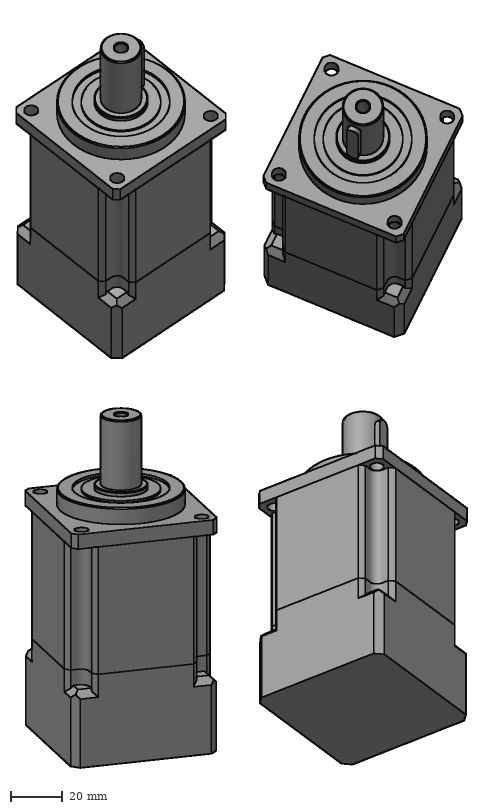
import cadquery as cq
import math

frame_width = 60.0
half_width = frame_width / 2
adapter_top = 37.7
flange_bottom = 90.0
flange_top = 96.0
boss_top = 102.8
shaft_top = 133.0
flange_corner_chamfer = 2.2
adapter_corner_chamfer = 3.0

ledge_height = 31.3
notch_wall = 21.6
notch_lip = 2.0
notch_fillet = 3.3

hole_diameter = 5.5
bolt_circle = 70.0
hole_spacing = bolt_circle / math.sqrt(2)

boss_radius = 25.0
boss_chamfer = 0.5
groove_outer_radius = 19.0
groove_inner_radius = 15.5
groove_depth = 1.0
seal_face_recess = 0.2
seal_face = boss_top - seal_face_recess

shaft_radius = 8.0
shaft_chamfer = 0.5
collar_radius = 10.5
collar_chamfer = 0.4
collar_top = 104.4

center_hole_radius = 2.5
center_hole_chamfer = 0.4
center_hole_depth = 12.0
drill_tip_angle = 118.0
drill_tip_depth = center_hole_radius / math.tan(math.radians(drill_tip_angle / 2))

key_width = 5.0
key_height = 5.0
key_length = 25.0
key_top = 129.9
key_outer_y = 10.0


def notched_prism(bottom, top):
    """Square prism whose four vertical corners are cut back by a filleted notch."""
    height = top - bottom
    corner_cut = half_width - notch_wall
    cutter = (
        cq.Workplane("XY", origin=(0, 0, bottom))
        .rect(frame_width, frame_width, forConstruction=True)
        .vertices()
        .rect(2 * corner_cut, 2 * corner_cut)
        .extrude(height)
        .edges("|Z")
        .fillet(notch_fillet)
    )
    prism = cq.Workplane("XY", origin=(0, 0, bottom)).rect(frame_width, frame_width).extrude(height)
    prism = prism.cut(cutter)
    lip_edges = prism.faces("<X or >X or <Y or >Y").edges("|Z")
    return lip_edges.chamfer(notch_lip)


def make_adapter():
    """Motor adapter: a chamfered block with a notched upper section."""
    block = (
        cq.Workplane("XY")
        .rect(frame_width, frame_width)
        .extrude(ledge_height)
        .edges("|Z")
        .chamfer(adapter_corner_chamfer)
    )
    bevel_envelope = (
        cq.Workplane("XY")
        .rect(frame_width, frame_width)
        .extrude(ledge_height)
        .faces(">Z")
        .edges()
        .chamfer(adapter_corner_chamfer)
    )
    return block.intersect(bevel_envelope).union(notched_prism(0, adapter_top))


def make_gear_body():
    """Notched section between the motor adapter and the output flange."""
    return notched_prism(adapter_top, flange_bottom)


def make_flange():
    """Square mounting flange with its centring boss and four screw holes."""
    plate = (
        cq.Workplane("XY", origin=(0, 0, flange_bottom))
        .rect(frame_width, frame_width)
        .extrude(flange_top - flange_bottom)
        .edges("|Z")
        .chamfer(flange_corner_chamfer)
        .faces(">Z")
        .workplane()
        .rect(hole_spacing, hole_spacing, forConstruction=True)
        .vertices()
        .hole(hole_diameter)
    )
    boss = (
        cq.Workplane("XY", origin=(0, 0, flange_top))
        .circle(boss_radius)
        .extrude(boss_top - flange_top)
        .faces(">Z")
        .chamfer(boss_chamfer)
    )
    groove = (
        cq.Workplane("XY", origin=(0, 0, boss_top - groove_depth))
        .circle(groove_outer_radius)
        .circle(groove_inner_radius)
        .extrude(groove_depth)
    )
    recess = (
        cq.Workplane("XY", origin=(0, 0, seal_face))
        .circle(groove_inner_radius)
        .extrude(seal_face_recess)
    )
    return plate.union(boss).cut(groove).cut(recess)


def make_shaft():
    """Output shaft with collar and a drilled centre hole."""
    collar = (
        cq.Workplane("XY", origin=(0, 0, seal_face))
        .circle(collar_radius)
        .extrude(collar_top - seal_face)
        .faces(">Z")
        .chamfer(collar_chamfer)
    )
    journal = (
        cq.Workplane("XY", origin=(0, 0, seal_face))
        .circle(shaft_radius)
        .extrude(shaft_top - seal_face)
        .faces(">Z")
        .chamfer(shaft_chamfer)
    )
    hole_bottom = shaft_top - center_hole_depth
    center_hole = (
        cq.Workplane("XZ")
        .moveTo(0, shaft_top)
        .lineTo(center_hole_radius + center_hole_chamfer, shaft_top)
        .lineTo(center_hole_radius, shaft_top - center_hole_chamfer)
        .lineTo(center_hole_radius, hole_bottom)
        .lineTo(0, hole_bottom - drill_tip_depth)
        .close()
        .revolve(360, (0, 0, 0), (0, 1, 0))
    )
    return collar.union(journal).cut(center_hole)


def make_key():
    """Key on the +Y side of the shaft; its inner part merges into the shaft."""
    return (
        cq.Workplane("XZ", origin=(0, key_outer_y, key_top - key_length / 2))
        .slot2D(key_length, key_width, 90)
        .extrude(key_height)
    )


adapter = make_adapter()
gear_body = make_gear_body()
output = make_flange().union(make_shaft()).union(make_key())

result = cq.Compound.makeCompound([adapter.val(), gear_body.val(), output.val()])